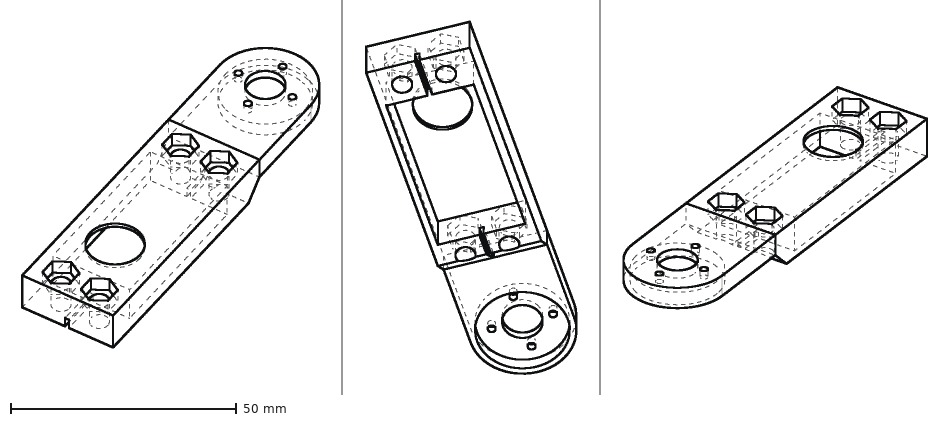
import cadquery as cq
import math

width = 24.0
length = 93.0
height = 9.8

joint_y = 60.0
arm_thickness = 5.3
arm_bottom = height - arm_thickness
tip_radius = width / 2
pivot_y = length - tip_radius

shaft_hole_diameter = 9.0
bearing_recess_diameter = 21.0
arm_web = 2.0
bolt_hole_diameter = 1.8
bolt_circle_diameter = 14.2
bolt_count = 4

servo_x = -0.2
servo_y = 29.9
servo_width = 20.3
servo_length = 40.0
servo_roof = 1.0
horn_hole_diameter = 13.2
horn_hole_y = 19.7

screw_spacing_x = 10.1
screw_spacing_y = 49.0
screw_hole_diameter = 4.5
nut_across_flats = 7.1
nut_across_corners = nut_across_flats / math.cos(math.pi / 6)
nut_depth = 3.4

slot_width = 1.0
slot_height = 2.5


def make_servo_block():
    """Block with a sloped back, an open-bottomed servo cavity and four nut pockets."""
    block = (
        cq.Workplane("YZ")
        .moveTo(0, 0)
        .lineTo(joint_y - arm_bottom, 0)
        .lineTo(joint_y, arm_bottom)
        .lineTo(joint_y, height)
        .lineTo(0, height)
        .close()
        .extrude(width / 2, both=True)
    )

    cavity = (
        cq.Workplane("XY")
        .center(servo_x, servo_y)
        .rect(servo_width, servo_length)
        .extrude(height - servo_roof)
    )
    horn_hole = (
        cq.Workplane("XY")
        .center(servo_x, horn_hole_y)
        .circle(horn_hole_diameter / 2)
        .extrude(height)
    )
    block = block.cut(cavity).cut(horn_hole)

    screw_holes = (
        cq.Workplane("XY")
        .center(servo_x, servo_y)
        .rarray(screw_spacing_x, screw_spacing_y, 2, 2)
        .circle(screw_hole_diameter / 2)
        .extrude(height)
    )
    nut_pockets = (
        cq.Workplane("XY", origin=(servo_x, servo_y, height))
        .transformed(rotate=(0, 0, 90))
        .rarray(screw_spacing_y, screw_spacing_x, 2, 2)
        .polygon(6, nut_across_corners)
        .extrude(-nut_depth)
    )
    block = block.cut(screw_holes).cut(nut_pockets)

    cable_slot = cq.Workplane("XY").box(
        slot_width, joint_y, slot_height, centered=(True, False, False)
    ).translate((servo_x, 0, 0))
    return block.cut(cable_slot)


def make_arm():
    """Flat round-ended arm with a bearing recess underneath and a ring of bolt holes."""
    arm = (
        cq.Workplane("XY", origin=(0, 0, arm_bottom))
        .moveTo(-width / 2, joint_y)
        .lineTo(width / 2, joint_y)
        .lineTo(width / 2, pivot_y)
        .threePointArc((0, length), (-width / 2, pivot_y))
        .close()
        .extrude(arm_thickness)
    )

    pivot = cq.Workplane("XY", origin=(0, pivot_y, arm_bottom))
    bearing_recess = pivot.circle(bearing_recess_diameter / 2).extrude(arm_thickness - arm_web)
    shaft_hole = pivot.circle(shaft_hole_diameter / 2).extrude(arm_thickness)
    bolt_holes = (
        pivot.polarArray(bolt_circle_diameter / 2, 0, 360, bolt_count)
        .circle(bolt_hole_diameter / 2)
        .extrude(arm_thickness)
    )
    return arm.cut(bearing_recess).cut(shaft_hole).cut(bolt_holes)


servo_block = make_servo_block()
arm = make_arm()

result = cq.Compound.makeCompound([servo_block.val(), arm.val()])